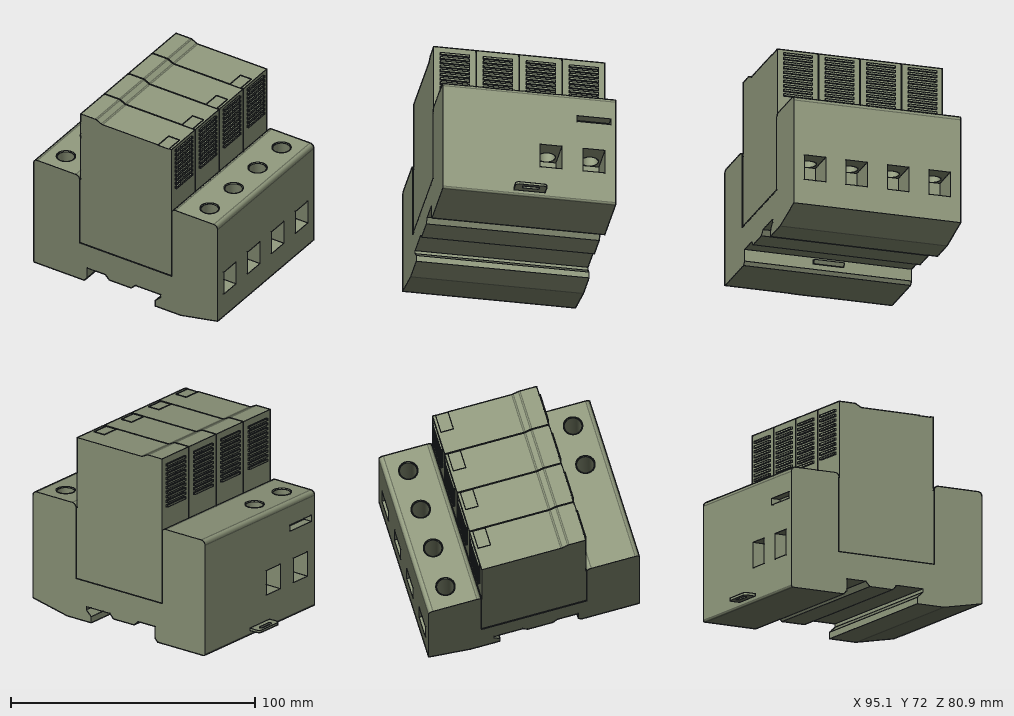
import cadquery as cq


overall_length = 95.1

base_length = 90.0
base_width = 72.0
shoulder_height = 50.6
edge_radius = 1.9
foot_radius = 0.8
channel_length = 45.0
channel_floor = 17.6
channel_start = (base_length - channel_length) / 2
channel_end = channel_start + channel_length

rail_start = 26.1
rail_end = 62.1
rail_depth = 6.6
rail_lead_in = 1.4
rail_boss_depth = 2.0
rail_boss_start = 35.1
rail_boss_end = 49.8
rail_boss_taper = 2.0
hook_reach = 2.6
hook_lip = 2.8
hook_top = 5.1
foot_end = 72.1
foot_rise = 3.6

pole_count = 4
total_height = 80.9
module_gap = 0.4
module_width = (base_width - (pole_count + 1) * module_gap) / pole_count
pole_pitch = module_width + module_gap
module_relief = 0.3
relief_floor = shoulder_height - edge_radius
step_height = 1.4
step_start = 30.3
step_end = 33.2
step_radius = 1.4

window_start = 60.7
window_length = 5.3
window_width = 7.9
window_recess = 0.2

rib_count = 10
rib_pitch = 2.0
rib_height = 0.9
rib_width = 12.2
rib_reach = 0.8
top_rib_z = 77.5

screw_offset = 9.9
screw_diameter = 7.2
screw_chamfer = 0.4
entry_width = 9.1
entry_bottom = 14.45
entry_height = 10.7
entry_depth = screw_offset + screw_diameter / 2
near_terminal_count = 2
slot_width = 14.1
slot_bottom = 37.7
slot_height = 2.8
slot_depth = 3.8

tab_reach = overall_length - base_length
tab_width = 13.0
tab_thickness = 1.0
tab_bottom = 2.2
tab_corner_radius = 1.4
tab_slot_length = 7.0
tab_slot_width = 1.4
tab_slot_edge = 1.4
tooth_bottom = 3.7
tooth_top = 5.5
tooth_tip_reach = 1.8
tooth_tip_z = 5.1
tooth_heel_reach = 0.6


def pole_y(pole):
    """Centre of a pole along Y; pole 0 is nearest the front face."""
    return module_gap + module_width / 2 + pole * pole_pitch


def box(x, y, z, length, width, height):
    """Box from its lowest X, centred on y, standing on z."""
    centered = (False, True, False)
    return cq.Workplane("XY").box(length, width, height, centered=centered).translate((x, y, z))


def extrude_profile(points, y_start, width):
    """Extrude an X-Z outline towards +Y from y_start."""
    return cq.Workplane("XZ", origin=(0, y_start, 0)).polyline(points).close().extrude(-width)


def make_base():
    boss_z = rail_depth - rail_boss_depth
    outline = [
        (0, 0),
        (rail_start - rail_lead_in, 0),
        (rail_start, rail_lead_in),
        (rail_start, rail_depth),
        (rail_boss_start, rail_depth),
        (rail_boss_start + rail_boss_taper, boss_z),
        (rail_boss_end - rail_boss_taper, boss_z),
        (rail_boss_end, rail_depth),
        (rail_end, rail_depth),
        (rail_end, hook_top),
        (rail_end - hook_reach, hook_lip),
        (rail_end - hook_reach, 0),
        (foot_end, 0),
        (base_length, foot_rise),
        (base_length, shoulder_height),
        (channel_end, shoulder_height),
        (channel_end, channel_floor),
        (channel_start, channel_floor),
        (channel_start, shoulder_height),
        (0, shoulder_height),
    ]
    base = extrude_profile(outline, 0, base_width)
    base = base.faces(">Z").edges("|Y").fillet(edge_radius)
    return base.faces("<X").edges("<Z").fillet(foot_radius)


def screw_hole(x, y):
    """Chamfered bore from the shoulder top down into the wire entry."""
    radius = screw_diameter / 2
    entry_middle = entry_bottom + entry_height / 2
    bore = cq.Workplane("XY", origin=(x, y, entry_middle)).circle(radius)
    bore = bore.extrude(shoulder_height - entry_middle)
    rim = cq.Workplane("XY", origin=(x, y, shoulder_height)).circle(radius + screw_chamfer)
    return bore.union(rim.extrude(-screw_chamfer, taper=45))


def cut_terminals(base):
    """Cut the tab-side terminals, a far-side terminal per pole and the slot at pole 0."""
    far_screw_x = base_length - screw_offset
    far_entry_x = base_length - entry_depth
    near_side = [(pole, screw_offset, 0) for pole in range(near_terminal_count)]
    far_side = [(pole, far_screw_x, far_entry_x) for pole in range(pole_count)]
    for pole, screw_x, entry_x in near_side + far_side:
        y = pole_y(pole)
        base = base.cut(box(entry_x, y, entry_bottom, entry_depth, entry_width, entry_height))
        base = base.cut(screw_hole(screw_x, y))
    return base.cut(box(0, pole_y(0), slot_bottom, slot_depth, slot_width, slot_height))


def make_module(pole):
    y = pole_y(pole)
    front_y = y - module_width / 2
    start = channel_start + module_relief
    end = channel_end - module_relief
    low_top = total_height - step_height
    outline = [
        (channel_start, channel_floor),
        (channel_end, channel_floor),
        (channel_end, relief_floor),
        (end, relief_floor),
        (end, low_top),
        (step_end, low_top),
        (step_start, total_height),
        (start, total_height),
        (start, relief_floor),
        (channel_start, relief_floor),
    ]
    module = extrude_profile(outline, front_y, module_width)
    for step_x, step_z in ((step_start, total_height), (step_end, low_top)):
        step_edge = cq.selectors.NearestToPointSelector((step_x, y, step_z))
        module = module.edges(step_edge).fillet(step_radius)

    window_y = front_y + window_width / 2
    window_z = low_top - window_recess
    window = box(window_start, window_y, window_z, window_length, window_width, window_recess)
    module = module.cut(window)

    rib_length = end - start + 2 * rib_reach
    for i in range(rib_count):
        rib_z = top_rib_z - i * rib_pitch - rib_height / 2
        module = module.union(box(start - rib_reach, y, rib_z, rib_length, rib_width, rib_height))
    return module


def make_pull_tab():
    y = base_width / 2
    tab = box(-tab_reach, y, tab_bottom, tab_reach, tab_width, tab_thickness)
    tab = tab.edges("|Z and <X").fillet(tab_corner_radius)
    slot_x = -tab_reach + tab_slot_edge + tab_slot_width / 2
    slot = cq.Workplane("XY", origin=(slot_x, y, tab_bottom))
    slot = slot.slot2D(tab_slot_length, tab_slot_width, 90).extrude(tab_thickness)
    return tab.cut(slot)


def make_clip_tooth():
    outline = [
        (rail_start, tooth_bottom),
        (rail_start + tooth_heel_reach, tooth_bottom),
        (rail_start + tooth_tip_reach, tooth_tip_z),
        (rail_start, tooth_top),
    ]
    return extrude_profile(outline, (base_width - tab_width) / 2, tab_width)


result = cut_terminals(make_base())
for pole_index in range(pole_count):
    result = result.union(make_module(pole_index))
result = result.union(make_pull_tab()).union(make_clip_tooth())